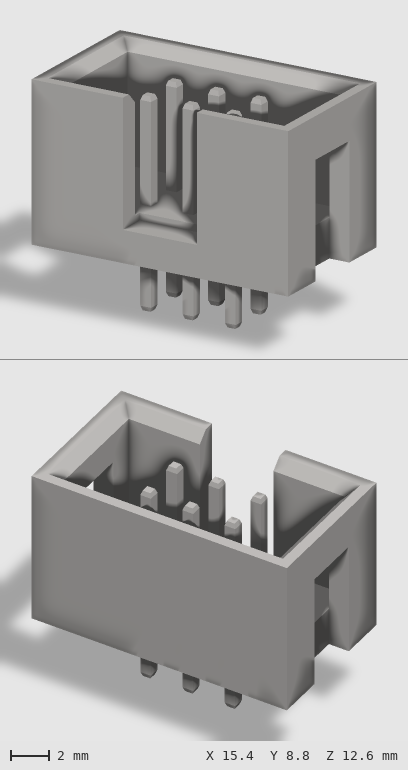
import cadquery as cq

length = 15.42
width = 8.8
height = 9.04
wall = 1.2
rim = 0.6
lead_in = wall - rim
floor_height = 2.24

notch_width = 4.44
notch_bottom = 1.82
notch_depth = 1.68

opening_width = 3.38
opening_top = 6.65

pin_columns = 3
pin_rows = 2
pin_pitch = 2.55
pin_size = 0.65
pin_top = 8.2
pin_tail = 3.56
tip_height = 0.26
tip_inset = 0.1


def make_housing():
    """Box with a bevelled cavity above its floor."""
    body = cq.Workplane("XY").box(length, width, height, centered=(True, True, False))
    cavity = (
        cq.Workplane("XY", origin=(0, 0, floor_height))
        .rect(length - 2 * wall, width - 2 * wall)
        .extrude(height - floor_height)
    )
    mouth = (
        cq.Workplane("XY", origin=(0, 0, height - lead_in))
        .rect(length - 2 * wall, width - 2 * wall)
        .workplane(offset=lead_in)
        .rect(length - 2 * rim, width - 2 * rim)
        .loft(ruled=True)
    )
    return body.cut(cavity).cut(mouth)


def make_notch():
    """Block that clears the polarising notch and its pocket in the floor."""
    return cq.Workplane("XY", origin=(0, (notch_depth - width) / 2, notch_bottom)).box(
        notch_width, notch_depth, height - notch_bottom, centered=(True, True, False)
    )


def make_end_opening(side):
    """Block that clears one end wall; side is -1 for -X and +1 for +X."""
    return cq.Workplane("XY", origin=(side * (length - wall) / 2, 0, 0)).box(
        wall, opening_width, opening_top, centered=(True, True, False)
    )


def make_pin():
    """Square pin on the Z axis with a tapered tip at each end."""
    tip_size = pin_size - 2 * tip_inset
    return (
        cq.Workplane("XY", origin=(0, 0, -pin_tail))
        .rect(tip_size, tip_size)
        .workplane(offset=tip_height)
        .rect(pin_size, pin_size)
        .workplane(offset=pin_top + pin_tail - 2 * tip_height)
        .rect(pin_size, pin_size)
        .workplane(offset=tip_height)
        .rect(tip_size, tip_size)
        .loft(ruled=True)
    )


result = make_housing().cut(make_notch())

for side in (-1, 1):
    result = result.cut(make_end_opening(side))

pin = make_pin()
for column in range(pin_columns):
    for row in range(pin_rows):
        x = (column - (pin_columns - 1) / 2) * pin_pitch
        y = (row - (pin_rows - 1) / 2) * pin_pitch
        result = result.union(pin.translate((x, y, 0)))